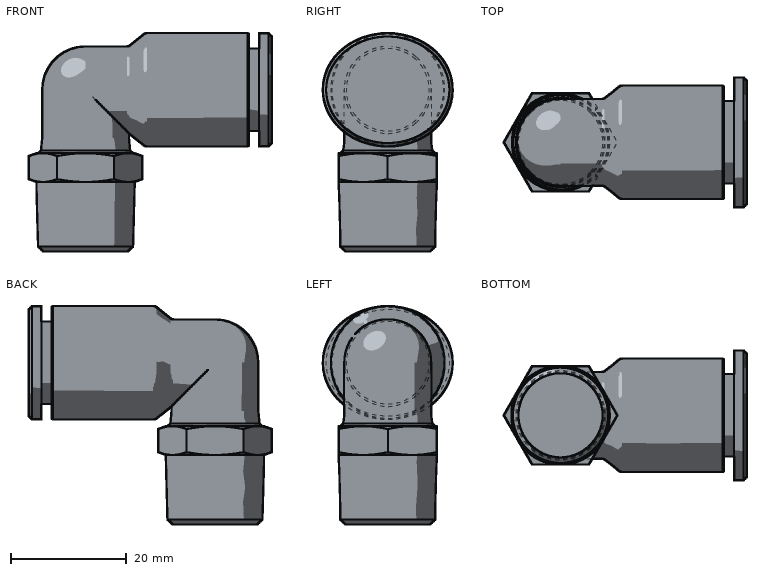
import cadquery as cq
import math


total_length = 42.0
total_height = 37.8

hex_across_flats = 17.0
hex_across_corners = hex_across_flats / math.cos(math.radians(30))
hex_chamfer_radius = 8.4
hex_chamfer_angle = 20

elbow_radius = 7.52

neck_end = 7.45
neck_blend = 0.67
sleeve_start = 10.35
sleeve_blend = 1.0
sleeve_radius = 9.85
sleeve_end = 28.25
sleeve_edge = 0.2

stem_radius = 7.15
ring_start = 30.0
ring_end = total_length - hex_across_corners / 2
ring_width = 22.5
ring_height = 19.6
ring_chamfer = 0.6

collar_top = -8.35
collar_bottom = -10.5
collar_radius = 7.75
hex_top = -10.93
hex_bottom = -15.95
flare_radius = 8.15
thread_top_radius = 8.55
thread_bottom_radius = 8.25
leg_bottom = sleeve_radius - total_height
tip_height = 0.92
tip_radius = 7.25


def revolve_about_x(profile):
    """Turn (x, radius) points about the X axis."""
    points = [(profile[0][0], 0)] + profile + [(profile[-1][0], 0)]
    return cq.Workplane("XZ").polyline(points).close().revolve(360, (0, 0, 0), (1, 0, 0))


def revolve_about_z(profile):
    """Turn (radius, z) points about the Z axis."""
    points = [(0, profile[0][1])] + profile + [(0, profile[-1][1])]
    return cq.Workplane("XZ").polyline(points).close().revolve(360, (0, 0, 0), (0, 1, 0))


def circles_at_x(station):
    """Selector for the whole edges that lie at one station along X."""
    margin = 0.05
    reach = sleeve_radius + margin
    return cq.selectors.BoxSelector(
        (station - margin, -reach, -reach),
        (station + margin, reach, reach),
        boundingbox=True,
    )


def make_sleeve():
    sleeve = revolve_about_x([
        (0, elbow_radius),
        (neck_end, elbow_radius),
        (sleeve_start, sleeve_radius),
        (sleeve_end - sleeve_edge, sleeve_radius),
        (sleeve_end, sleeve_radius - sleeve_edge),
        (sleeve_end, stem_radius),
        (ring_start, stem_radius),
    ])
    blended = sleeve.edges(circles_at_x(neck_end)).fillet(neck_blend)
    return blended.edges(circles_at_x(sleeve_start)).fillet(sleeve_blend)


def make_release_ring():
    return (
        cq.Workplane("YZ", origin=(ring_start, 0, 0))
        .ellipse(ring_width / 2, ring_height / 2)
        .extrude(ring_end - ring_start)
        .faces(">X")
        .chamfer(ring_chamfer)
    )


def make_leg():
    return revolve_about_z([
        (elbow_radius, 0),
        (elbow_radius, collar_top),
        (collar_radius, collar_bottom),
        (flare_radius, hex_top),
        (flare_radius, hex_bottom),
        (thread_top_radius, hex_bottom),
        (thread_bottom_radius, leg_bottom + tip_height),
        (tip_radius, leg_bottom),
    ])


def make_hexagon():
    """Hexagon with its corners cut back by a cone at both ends."""
    hexagon = (
        cq.Workplane("XY", origin=(0, 0, hex_bottom))
        .polygon(6, hex_across_corners)
        .extrude(hex_top - hex_bottom)
    )
    corner_radius = hex_across_corners / 2
    corner_drop = (corner_radius - hex_chamfer_radius) * math.tan(math.radians(hex_chamfer_angle))
    envelope = revolve_about_z([
        (hex_chamfer_radius, hex_top),
        (corner_radius, hex_top - corner_drop),
        (corner_radius, hex_bottom + corner_drop),
        (hex_chamfer_radius, hex_bottom),
    ])
    return hexagon.intersect(envelope)


outer_bend = cq.Workplane("XY").sphere(elbow_radius)

result = (
    make_leg()
    .union(make_hexagon())
    .union(make_sleeve())
    .union(outer_bend)
    .union(make_release_ring())
)